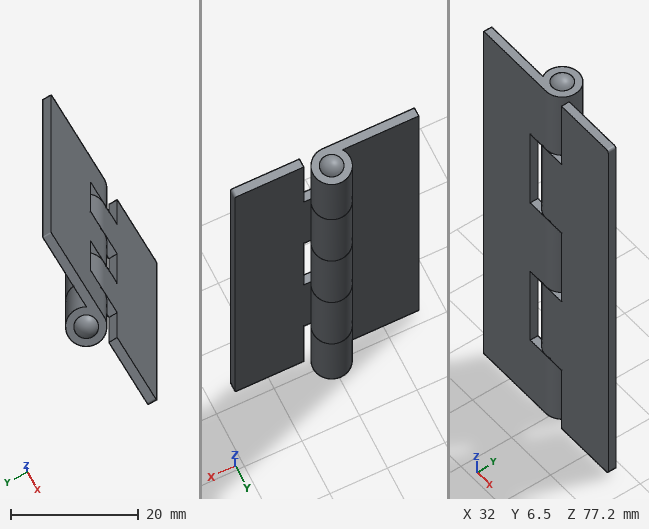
import cadquery as cq

hinge_width = 32.0
hinge_height = 77.2
leaf_height = 75.0
leaf_thickness = 1.55
barrel_radius = 3.25
pin_radius = 1.9
inner_knuckle_height = 16.0
notch_reach = 4.0
left_corner_radius = 0.2
right_corner_radius = 0.5

half_width = hinge_width / 2
knuckle_count = 5
inner_knuckle_count = knuckle_count - 2
end_knuckle_height = (leaf_height - inner_knuckle_count * inner_knuckle_height) / 2
dome_height = (hinge_height - leaf_height) / 2
knuckle_heights = [end_knuckle_height] + [inner_knuckle_height] * inner_knuckle_count + [end_knuckle_height]
knuckle_bottoms = [-leaf_height / 2 + sum(knuckle_heights[:i]) for i in range(knuckle_count)]


def plate(side, corner_radius):
    """Flat plate, set back from the pin axis and rounded at its two outer corners."""
    length = half_width - notch_reach
    blank = cq.Workplane("XY").box(length, leaf_thickness, leaf_height)
    outer_corners = blank.faces(">X" if side > 0 else "<X").edges("|Y")
    return outer_corners.fillet(corner_radius).translate(
        (side * (notch_reach + length / 2), -barrel_radius + leaf_thickness / 2, 0)
    )


def knuckle(side, index):
    """Barrel section on the pin axis with a tangent strip joining it to the plate."""
    bottom = knuckle_bottoms[index]
    height = knuckle_heights[index]
    base = cq.Workplane("XY").workplane(offset=bottom)
    barrel = base.circle(barrel_radius).extrude(height)
    strip = (
        base.center(side * notch_reach / 2, -barrel_radius + leaf_thickness / 2)
        .rect(notch_reach, leaf_thickness)
        .extrude(height)
    )
    return barrel.union(strip)


def make_leaf(side, corner_radius, first_knuckle):
    """Leaf with every second knuckle, bored for the pin; side is -1 (left) or +1 (right)."""
    leaf = plate(side, corner_radius)
    for index in range(first_knuckle, knuckle_count, 2):
        leaf = leaf.union(knuckle(side, index))
    bore = cq.Workplane("XY").circle(pin_radius).extrude(leaf_height / 2, both=True)
    return leaf.cut(bore)


def make_pin():
    """Round pin with a shallow spherical dome beyond each end of the barrel."""
    shaft_end = leaf_height / 2
    tip = shaft_end + dome_height
    dome_radius = (pin_radius**2 + dome_height**2) / (2 * dome_height)
    dome_center = tip - dome_radius
    mid_radius = pin_radius / 2
    mid_height = dome_center + (dome_radius**2 - mid_radius**2) ** 0.5
    return (
        cq.Workplane("XZ")
        .moveTo(0, -tip)
        .threePointArc((mid_radius, -mid_height), (pin_radius, -shaft_end))
        .lineTo(pin_radius, shaft_end)
        .threePointArc((mid_radius, mid_height), (0, tip))
        .close()
        .revolve(360, (0, 0, 0), (0, 1, 0))
    )


left_leaf = make_leaf(-1, left_corner_radius, 0)
right_leaf = make_leaf(1, right_corner_radius, 1)
pin = make_pin()

result = cq.Compound.makeCompound([left_leaf.val(), right_leaf.val(), pin.val()])